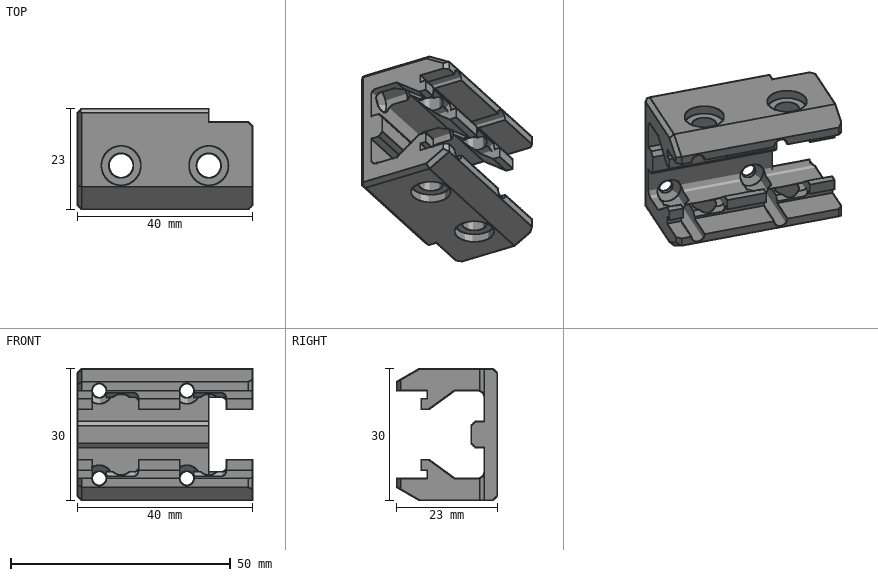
import cadquery as cq


length = 40.0
depth = 23.0
height = 30.0
half_height = height / 2
edge_chamfer = 1.0
nose_slope_depth = 5.2
nose_slope_height = 3.0

arm_thickness = 5.0
back_wall = 3.0
wall_face = depth - back_wall
inner_fillet = 1.5

rib_width = 6.0
rib_height = 3.0
rib_chamfer = 1.0

wedge_foot = 13.25
wedge_crest = 7.35
wedge_front = 7.0
wedge_top = 9.3
tongue_front = 5.6
tongue_underside = 6.8

back_wall_length = 30.0

first_screw = 10.0
station_pitch = 20.0
station_offsets = [0.0, station_pitch]
screw_y = 10.0
screw_diameter = 5.5
counterbore_diameter = 9.0
counterbore_depth = 2.0

pocket_width = 8.0
pocket_floor = 6.5
pocket_chamfer = 1.0
pocket_fillet = 1.0
pocket_right = first_screw + pocket_width / 2

pin_x = 5.0
pin_diameter = 3.2
pin_radius = pin_diameter / 2
bore_radius = 3.0
cone_length = bore_radius - pin_radius
bore_front = 13.6
bore_back = 22.0


def with_mirror(lower):
    """Join a lower-half shape with its copy on the upper half."""
    return lower.union(lower.mirror("XY"))


def at_stations(shape):
    """Repeat a shape at both stations."""
    copies = cq.Workplane("XY")
    for offset in station_offsets:
        copies = copies.union(shape.translate((offset, 0, 0)))
    return copies


def lower_z(above_underside):
    """Z of a height measured up from the underside of the lower arm."""
    return above_underside - half_height


def prism_along_x(points, x_start, x_end):
    """Extrude a (Y, Z) outline from x_start to x_end."""
    outline = cq.Workplane("YZ", origin=(x_start, 0, 0)).polyline(points).close()
    return outline.extrude(x_end - x_start)


def outer_body():
    nose = half_height - nose_slope_height
    profile = [
        (0, -nose),
        (nose_slope_depth, -half_height),
        (depth, -half_height),
        (depth, half_height),
        (nose_slope_depth, half_height),
        (0, nose),
    ]
    body = prism_along_x(profile, 0, length).faces("<X").chamfer(edge_chamfer)

    bevelled = cq.Workplane("XY").box(length, depth, height, centered=(False, False, True))
    bevelled = bevelled.edges("|X and >Y").chamfer(edge_chamfer)

    plan = (
        cq.Workplane("XY", origin=(0, 0, -half_height))
        .moveTo(0, 0)
        .lineTo(length - edge_chamfer, 0)
        .lineTo(length, edge_chamfer)
        .lineTo(length, wall_face - edge_chamfer)
        .lineTo(length - edge_chamfer, wall_face)
        .lineTo(back_wall_length, wall_face)
        .lineTo(back_wall_length, depth)
        .lineTo(0, depth)
        .close()
        .extrude(height)
    )
    return body.intersect(bevelled).intersect(plan)


def channel():
    """Open space between the arms, before the rib and wedges are added."""
    space = cq.Workplane("XY").box(
        length, wall_face, height - 2 * arm_thickness, centered=(False, False, True)
    )
    return space.edges("|X and >Y").fillet(inner_fillet)


def rib():
    shape = (
        cq.Workplane("XY")
        .box(back_wall_length, rib_height, rib_width, centered=(False, False, True))
        .edges("|X and <Y")
        .chamfer(rib_chamfer)
    )
    return shape.translate((0, wall_face - rib_height, 0))


def lower_wedge():
    profile = [
        (wedge_front, lower_z(arm_thickness)),
        (wedge_front, lower_z(tongue_underside)),
        (tongue_front, lower_z(tongue_underside)),
        (tongue_front, lower_z(wedge_top)),
        (wedge_crest, lower_z(wedge_top)),
        (wedge_foot, lower_z(arm_thickness)),
    ]
    return prism_along_x(profile, 0, length)


def screw_hole():
    """Lower half of the vertical screw hole with its counterbore."""
    hole = (
        cq.Workplane("XY", origin=(first_screw, screw_y, -half_height))
        .circle(screw_diameter / 2)
        .extrude(half_height)
    )
    counterbore = (
        cq.Workplane("XY", origin=(first_screw, screw_y, -half_height))
        .circle(counterbore_diameter / 2)
        .extrude(counterbore_depth)
    )
    return hole.union(counterbore)


def screw_pocket():
    """Filleted pocket across the wedge, with a 45 degree front edge."""
    profile = [
        (wedge_front, lower_z(pocket_floor - pocket_chamfer)),
        (wedge_front + pocket_chamfer, lower_z(pocket_floor)),
        (wedge_foot, lower_z(pocket_floor)),
        (wedge_foot, 0),
        (wedge_front, 0),
    ]
    pocket = prism_along_x(profile, pocket_right - pocket_width, pocket_right)
    floor_ends = pocket.faces("<X or >X").edges("<Z or (|Y and (not >Z))")
    return floor_ends.fillet(pocket_fillet)


def tongue_gap():
    """Gap in the tongue from the pin slot to the right side of the pocket."""
    gap_left = pin_x - pin_radius
    gap_size = (pocket_right - gap_left, wedge_front - tongue_front, -lower_z(tongue_underside))
    gap = cq.Workplane("XY").box(*gap_size, centered=False)
    return gap.translate((gap_left, tongue_front, lower_z(tongue_underside)))


def pin_hole():
    """Pin hole on the inner face of the arm, its wider bore and the slot above it."""
    pin_z = lower_z(arm_thickness)
    bore = (
        cq.Workplane("XY")
        .moveTo(0, 0)
        .lineTo(pin_radius, 0)
        .lineTo(pin_radius, bore_front)
        .lineTo(bore_radius, bore_front + cone_length)
        .lineTo(bore_radius, bore_back - cone_length)
        .lineTo(pin_radius, bore_back)
        .lineTo(pin_radius, depth)
        .lineTo(0, depth)
        .close()
        .revolve(360, (0, 0, 0), (0, 1, 0))
        .translate((pin_x, 0, pin_z))
    )
    slot = cq.Workplane("XY").box(pin_diameter, bore_front, -pin_z, centered=(True, False, False))
    return bore.union(slot.translate((pin_x, 0, pin_z)))


station_cut = screw_hole().union(screw_pocket()).union(tongue_gap()).union(pin_hole())
clamp = outer_body().cut(channel()).union(rib()).union(with_mirror(lower_wedge()))
result = clamp.cut(with_mirror(at_stations(station_cut)))